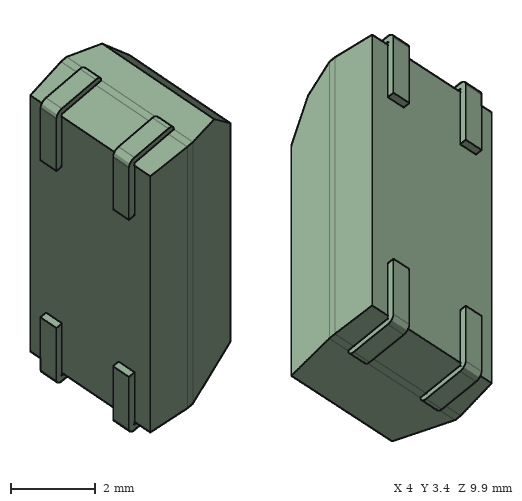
import cadquery as cq

total_height = 9.9
total_depth = 3.4

lead_thickness = 0.2
lead_width = 0.5
lead_pitch = 2.3
lead_foot_length = 2.1

body_width = 4.0
body_height = total_height - 2 * lead_thickness
body_front_y = lead_thickness
band_front_y = 1.41
band_back_y = 1.6
front_inset = 0.1
back_inset = 0.4

bevel_depth = 0.78
bevel_back_z = 3.56


def section(y, inset=0.0):
    """Rectangular wire of the body at depth y, drawn in from the band on all sides."""
    plane = cq.Plane(origin=(0, y, 0), xDir=(1, 0, 0), normal=(0, -1, 0))
    rectangle = cq.Workplane(plane).rect(body_width - 2 * inset, body_height - 2 * inset)
    return rectangle.wires().val()


def body_slab(y_start, y_end, inset_start=0.0, inset_end=0.0):
    """Straight-sided or tapered slab of the body between two depths."""
    wires = [section(y_start, inset_start), section(y_end, inset_end)]
    return cq.Workplane(obj=cq.Solid.makeLoft(wires, True))


def make_body():
    front = body_slab(body_front_y, band_front_y, inset_start=front_inset)
    band = body_slab(band_front_y, band_back_y)
    back = body_slab(band_back_y, total_depth, inset_end=back_inset)
    return front.union(band).union(back.cut(make_bevel_cutter()))


def make_bevel_cutter():
    """Wedge above the bevel, which runs from the back face up to the sloping top."""
    top_slope = back_inset / (total_depth - band_back_y)
    bevel_front_y = total_depth - bevel_depth
    bevel_front_z = body_height / 2 - top_slope * (bevel_front_y - band_back_y)
    profile = [
        (total_depth, bevel_back_z),
        (bevel_front_y, bevel_front_z),
        (bevel_front_y, body_height / 2),
        (total_depth, body_height / 2),
    ]
    return cq.Workplane("YZ").polyline(profile).close().extrude(body_width / 2, both=True)


def make_top_lead(x_centre):
    """L-shaped lead: an arm over the top of the band and a foot down the front face.

    Both outer corners are rounded to the full strip thickness.
    """
    top_z = total_height / 2
    inner_z = top_z - lead_thickness
    foot_z = top_z - lead_foot_length
    profile = (
        cq.Workplane("YZ")
        .moveTo(0, foot_z)
        .lineTo(0, inner_z)
        .radiusArc((lead_thickness, top_z), lead_thickness)
        .lineTo(band_back_y - lead_thickness, top_z)
        .radiusArc((band_back_y, inner_z), lead_thickness)
        .lineTo(lead_thickness, inner_z)
        .lineTo(lead_thickness, foot_z)
        .close()
    )
    strip = profile.extrude(lead_width / 2, both=True)
    return strip.translate((x_centre, 0, 0))


result = make_body()
for x_centre in (-lead_pitch / 2, lead_pitch / 2):
    top_lead = make_top_lead(x_centre)
    bottom_lead = top_lead.mirror("XY")
    result = result.union(top_lead).union(bottom_lead)